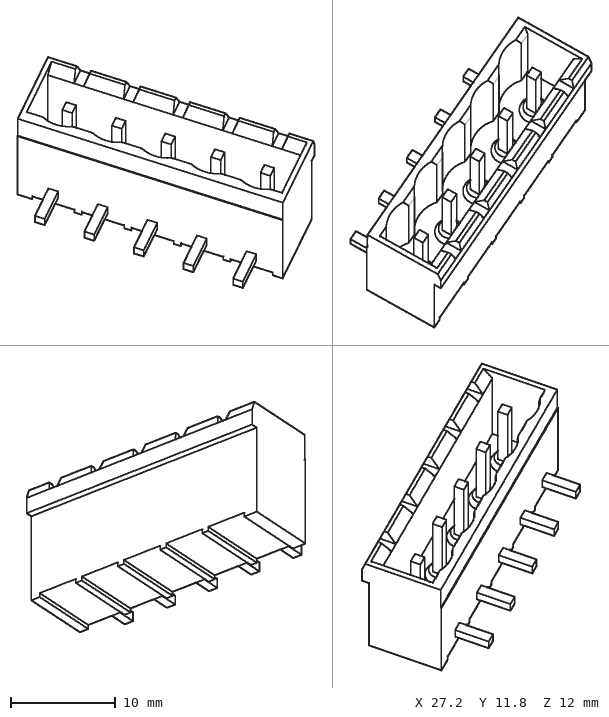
import cadquery as cq


length = 27.22
height = 12.0
depth = 7.6
front_relief = 0.08
lip_bottom = 9.3
lip_overhang = 0.73
lip_bevel_depth = 0.35
lip_bevel_height = 1.0

pin_count = 5
row_span = 20.33
row_offset = 0.25
pin_width = 1.0
pin_row_y = 4.15
pin_tail_z = 2.05
pin_tail_length = 3.5
pin_top = 10.53

side_wall = 0.52
front_wall = 1.15
front_bevel_depth = 0.33
front_bevel_height = 1.22
back_wall_y = 6.65
cavity_floor = 2.72
back_bevel_depth = 0.95
back_bevel_height = 0.98
scallop_radius = 3.2
scallop_front_y = 0.75

collar_base_radius = 1.4
collar_top_radius = 1.03
collar_height = 0.68

notch_floor_width = 0.98
notch_top_width = 1.45

foot_height = 0.44
foot_gap_width = 4.35

x_left = -length / 2
pitch = row_span / (pin_count - 1)
row_start = row_offset - row_span / 2
pin_positions = [row_start + pitch * i for i in range(pin_count)]
lip_y = depth + lip_overhang
bevel_foot_z = height - back_bevel_height


def box(x_min, x_max, y_min, y_max, z_min, z_max):
    size = (x_max - x_min, y_max - y_min, z_max - z_min)
    return cq.Workplane("XY").box(*size, centered=False).translate((x_min, y_min, z_min))


def extrude_along_x(points, start, distance):
    profile = cq.Workplane("YZ").workplane(offset=start).polyline(points).close()
    return profile.extrude(distance)


def housing_block():
    outline = [
        (0, 0),
        (depth, 0),
        (depth, lip_bottom),
        (lip_y, lip_bottom),
        (lip_y, height - lip_bevel_height),
        (lip_y - lip_bevel_depth, height),
        (front_relief, height),
        (front_relief, lip_bottom),
        (0, lip_bottom),
    ]
    return extrude_along_x(outline, x_left, length)


def cavity():
    inner_y = front_wall + front_bevel_depth
    outline = [
        (inner_y, cavity_floor),
        (back_wall_y, cavity_floor),
        (back_wall_y, bevel_foot_z),
        (back_wall_y + back_bevel_depth, height),
        (front_wall, height),
        (inner_y, height - front_bevel_height),
    ]
    return extrude_along_x(outline, x_left + side_wall, length - 2 * side_wall)


def scallop(x):
    centre_y = scallop_front_y + scallop_radius
    cylinder = (
        cq.Workplane("XY", origin=(x, centre_y, cavity_floor))
        .circle(scallop_radius)
        .extrude(height - cavity_floor)
    )
    front_part = box(x - pitch, x + pitch, 0, front_wall + front_bevel_depth, 0, height)
    return cylinder.intersect(front_part)


def lip_notch(x):
    floor_half = notch_floor_width / 2
    top_half = notch_top_width / 2
    outline = [
        (x - floor_half, bevel_foot_z),
        (x + floor_half, bevel_foot_z),
        (x + top_half, height),
        (x - top_half, height),
    ]
    profile = cq.Workplane("XZ", origin=(0, lip_y, 0)).polyline(outline).close()
    return profile.extrude(lip_y - back_wall_y)


def foot_gap(x):
    half = foot_gap_width / 2
    return box(x - half, x + half, 0, depth, 0, foot_height)


def collar(x):
    return (
        cq.Workplane("XY", origin=(x, pin_row_y, cavity_floor))
        .circle(collar_base_radius)
        .workplane(offset=collar_height)
        .circle(collar_top_radius)
        .loft(ruled=True)
    )


def pin(x):
    half = pin_width / 2
    post = box(x - half, x + half, pin_row_y - half, pin_row_y + half, pin_tail_z, pin_top)
    tail = box(x - half, x + half, -pin_tail_length, pin_row_y, pin_tail_z - half, pin_tail_z + half)
    return post.union(tail)


result = housing_block().cut(cavity())
for x in pin_positions:
    result = result.cut(scallop(x)).cut(lip_notch(x)).cut(foot_gap(x))
for x in pin_positions:
    result = result.union(collar(x)).union(pin(x))